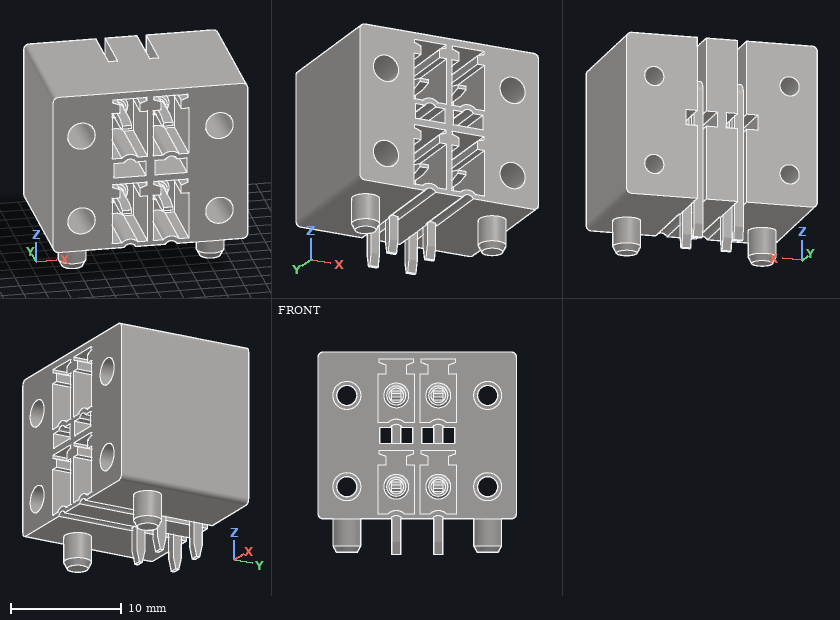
import cadquery as cq


OVERALL_HEIGHT = 18.4
HOUSING_WIDTH = 18.01
HOUSING_DEPTH = 13.3
HOUSING_HEIGHT = 15.16
EDGE_RADIUS = 0.5

COLUMN_PITCH = 3.8
ROW_PITCH = 8.28
LOWER_ROW_Z = 2.93
UPPER_ROW_Z = LOWER_ROW_Z + ROW_PITCH
COLUMNS = (-COLUMN_PITCH / 2, COLUMN_PITCH / 2)
ROWS = (LOWER_ROW_Z, UPPER_ROW_Z)

PIN_SIZE = 0.85
PIN_FRONT_Y = 1.29
PIN_BOTTOM_Z = HOUSING_HEIGHT - OVERALL_HEIGHT
PIN_TIP_SIZE = 0.31
PIN_TAPER = 1.15
BEND_INNER_RADIUS = 0.39
BEND_OUTER_RADIUS = BEND_INNER_RADIUS + PIN_SIZE
LOWER_LEG_Y = 8.05
LEG_PITCH = COLUMN_PITCH
LEG_Y = {LOWER_ROW_Z: LOWER_LEG_Y, UPPER_ROW_Z: LOWER_LEG_Y + LEG_PITCH}

SLOT_FRONT_Y = LOWER_LEG_Y - PIN_SIZE / 2

POCKET_DEPTH = 6.44
POCKET_HALF_WIDTH = 1.64
FLOOR_THICKNESS = 0.46
POCKET_FLOOR = FLOOR_THICKNESS - LOWER_ROW_Z
SHOULDER = 1.95
NECK_HALF_WIDTH = 0.94
NECK_TOP = 2.76
KEY_HALF_WIDTH = 1.58
KEY_BOTTOM = 3.0
KEY_TOP = 3.3

RIB_HALF_WIDTH = 0.75
RIB_HEIGHT = 0.31
RIB_RADIUS = (RIB_HALF_WIDTH**2 + RIB_HEIGHT**2) / (2 * RIB_HEIGHT)
RIB_CENTRE = POCKET_FLOOR + RIB_HEIGHT - RIB_RADIUS
GROOVE_RADIUS = RIB_RADIUS - FLOOR_THICKNESS

COLLAR_BASE_RADIUS = 1.12
COLLAR_MIDDLE_RADIUS = 0.86
COLLAR_TOP_RADIUS = 0.66
COLLAR_MIDDLE_HEIGHT = 0.52
COLLAR_HEIGHT = 0.63

WINDOW_WIDTH = 2.96
WINDOW_HEIGHT = 1.42
WINDOW_TOP_Z = UPPER_ROW_Z + POCKET_FLOOR - FLOOR_THICKNESS

HOLE_X = 6.38
HOLE_RADIUS = 0.9
BORE_RADIUS = 1.27
BORE_DEPTH = 6.44

PEG_Y = 4.23
PEG_RADIUS = BORE_RADIUS
PEG_TIP_RADIUS = 0.95
PEG_LENGTH = 3.04
PEG_TAPER = 0.6


def front_sketch(x, z):
    """Sketch plane on the front face; a negative extrusion goes back along +Y."""
    return cq.Workplane("XZ", origin=(x, 0, z))


def make_block():
    block = cq.Workplane("XY").box(
        HOUSING_WIDTH, HOUSING_DEPTH, HOUSING_HEIGHT, centered=(True, False, False)
    )
    return block.edges("|Y").fillet(EDGE_RADIUS)


def make_collar(x, z):
    """Stepped cone standing on the back wall of a pocket and pointing to the front."""
    profile = [
        (0, 0),
        (COLLAR_BASE_RADIUS, 0),
        (COLLAR_MIDDLE_RADIUS, COLLAR_MIDDLE_HEIGHT),
        (COLLAR_TOP_RADIUS, COLLAR_HEIGHT),
        (0, COLLAR_HEIGHT),
    ]
    back_wall = cq.Plane(origin=(x, POCKET_DEPTH, z), xDir=(1, 0, 0), normal=(0, 0, -1))
    return cq.Workplane(back_wall).polyline(profile).close().revolve(360, (0, 0), (0, 1))


def make_pocket(x, z):
    """Space of a keyed plug pocket, leaving its floor rib and its collar standing."""
    right_side = [
        (POCKET_HALF_WIDTH, POCKET_FLOOR),
        (POCKET_HALF_WIDTH, SHOULDER),
        (NECK_HALF_WIDTH, SHOULDER),
        (NECK_HALF_WIDTH, NECK_TOP),
        (KEY_HALF_WIDTH, KEY_BOTTOM),
        (KEY_HALF_WIDTH, KEY_TOP),
    ]
    left_side = [(-across, height) for across, height in reversed(right_side)]
    space = front_sketch(x, z).polyline(right_side + left_side).close().extrude(-POCKET_DEPTH)
    rib = front_sketch(x, z + RIB_CENTRE).circle(RIB_RADIUS).extrude(-POCKET_DEPTH)
    return space.cut(rib).cut(make_collar(x, z))


def make_groove(x, z):
    """Rounded groove below a pocket floor, from the front face to the leg slot."""
    return front_sketch(x, z + RIB_CENTRE).circle(GROOVE_RADIUS).extrude(-SLOT_FRONT_Y)


def make_window(x):
    window_centre_z = WINDOW_TOP_Z - WINDOW_HEIGHT / 2
    return front_sketch(x, window_centre_z).rect(WINDOW_WIDTH, WINDOW_HEIGHT).extrude(-HOUSING_DEPTH)


def make_leg_slot(x):
    return cq.Workplane("XY", origin=(x, SLOT_FRONT_Y, 0)).box(
        PIN_SIZE, HOUSING_DEPTH - SLOT_FRONT_Y, HOUSING_HEIGHT, centered=(True, False, False)
    )


def make_mounting_hole(x, z):
    bore = front_sketch(x, z).circle(BORE_RADIUS).extrude(-BORE_DEPTH)
    return bore.union(front_sketch(x, z).circle(HOLE_RADIUS).extrude(-HOUSING_DEPTH))


def make_pin(x, arm_z, leg_y):
    """Square pin bent through a right angle, with a wedge-shaped tip at each end."""
    half = PIN_SIZE / 2
    half_tip = PIN_TIP_SIZE / 2
    arm_taper_y = PIN_FRONT_Y + PIN_TAPER
    leg_taper_z = PIN_BOTTOM_Z + PIN_TAPER
    bend_y = leg_y + half - BEND_OUTER_RADIUS
    bend_z = arm_z + half - BEND_OUTER_RADIUS
    side = (
        cq.Workplane("YZ", origin=(x - half, 0, 0))
        .moveTo(PIN_FRONT_Y, arm_z + half_tip)
        .lineTo(arm_taper_y, arm_z + half)
        .lineTo(bend_y, arm_z + half)
        .radiusArc((leg_y + half, bend_z), BEND_OUTER_RADIUS)
        .lineTo(leg_y + half, leg_taper_z)
        .lineTo(leg_y + half_tip, PIN_BOTTOM_Z)
        .lineTo(leg_y - half_tip, PIN_BOTTOM_Z)
        .lineTo(leg_y - half, leg_taper_z)
        .lineTo(leg_y - half, bend_z)
        .radiusArc((bend_y, arm_z - half), -BEND_INNER_RADIUS)
        .lineTo(arm_taper_y, arm_z - half)
        .lineTo(PIN_FRONT_Y, arm_z - half_tip)
        .close()
    )
    return side.extrude(PIN_SIZE)


def make_peg(x):
    """Round peg with a tapered end, standing against the underside of the housing."""
    profile = [
        (0, 0),
        (PEG_RADIUS, 0),
        (PEG_RADIUS, PEG_TAPER - PEG_LENGTH),
        (PEG_TIP_RADIUS, -PEG_LENGTH),
        (0, -PEG_LENGTH),
    ]
    return cq.Workplane("XZ", origin=(x, PEG_Y, 0)).polyline(profile).close().revolve(360, (0, 0), (0, 1))


def make_housing(pins):
    """Housing with all its openings, and seats that fit the pins."""
    housing = make_block()
    for x in COLUMNS:
        for z in ROWS:
            housing = housing.cut(make_groove(x, z)).cut(make_pocket(x, z))
        housing = housing.cut(make_window(x)).cut(make_leg_slot(x))
    for x in (-HOLE_X, HOLE_X):
        for z in ROWS:
            housing = housing.cut(make_mounting_hole(x, z))
    for pin in pins:
        housing = housing.cut(pin)
    return housing


pins = [make_pin(x, z, LEG_Y[z]) for x in COLUMNS for z in ROWS]
pegs = [make_peg(x) for x in (-HOLE_X, HOLE_X)]
housing = make_housing(pins)

result = cq.Compound.makeCompound([housing.val()] + [body.val() for body in pins + pegs])